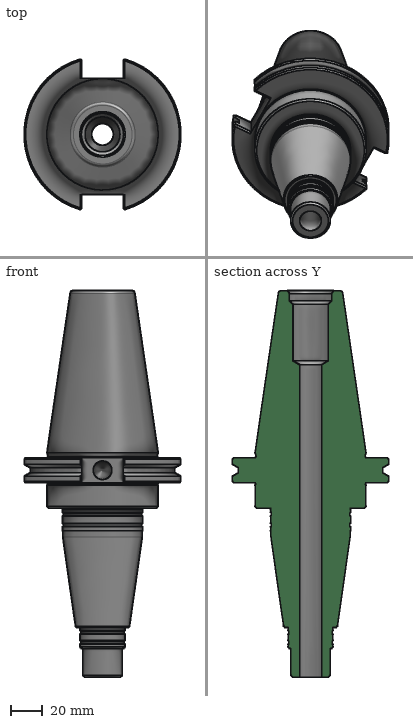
import cadquery as cq
import math


gauge_diameter = 69.85
taper_length = 101.6
taper_ratio = 7 / 24
taper_end_fillet = 2.0

flange_diameter = 98.425
flange_top_z = -3.18
flange_thickness = 15.88
flange_chamfer = 1.0
groove_depth = 3.75
groove_floor_width = 3.0
groove_flank_angle = 30.0
relief_depth = 0.65
relief_return = 0.65

slot_width = 25.7
slot_chamfer = 1.1
front_slot_floor = 37.7
rear_slot_floor = 35.3
drive_hole_diameter = 11.7
drive_hole_depth = 8.0
drill_point_angle = 118.0

collar_bottom_z = -35.0
collar_chamfer = 1.2
collar_relief_width = 1.6
collar_relief_depth = 0.4
neck_diameter = 50.5
neck_relief_diameter = 50.0
neck_relief_width = 1.0
neck_bottom_z = -49.0
cone_diameter = 50.0
cone_top_z = -52.8
cone_bottom_z = -109.7
cone_half_angle = 8.0
cone_chamfer = 0.8
tip_neck_diameter = 28.5
tip_neck_bottom_z = -122.9
tip_neck_chamfer = 1.05
tip_diameter = 25.0
tip_chamfer = 1.3
total_length = 242.5

ring_groove_depth = 0.5
ring_groove_width = 2.4
ring_grooves = [
    (neck_diameter, -37.45),
    (neck_diameter, -44.25),
    (tip_neck_diameter, -111.5),
    (tip_neck_diameter, -117.8),
]

mouth_diameter = 28.5
mouth_depth = 2.0
counterbore_diameter = 26.4
counterbore_depth = 6.5
thread_bore_diameter = 21.96
thread_bore_depth = 44.0
through_diameter = 13.5

gauge_radius = gauge_diameter / 2
flange_radius = flange_diameter / 2
flange_bottom_z = flange_top_z - flange_thickness
flange_mid_z = flange_top_z - flange_thickness / 2
bottom_z = taper_length - total_length
drill_point_tangent = math.tan(math.radians(drill_point_angle / 2))


def revolve(points):
    """Revolve a closed (radius, z) outline about Z."""
    return cq.Workplane("XZ").polyline(points).close().revolve(360, (0, 0), (0, 1))


def make_taper():
    end_radius = gauge_radius - taper_length * taper_ratio / 2
    relief_radius = gauge_radius - relief_depth
    taper = revolve([
        (0, taper_length),
        (end_radius, taper_length),
        (gauge_radius, 0),
        (relief_radius, flange_top_z + relief_return),
        (gauge_radius, flange_top_z),
        (0, flange_top_z),
    ])
    return taper.faces(">Z").edges().fillet(taper_end_fillet)


def make_flange():
    root_radius = flange_radius - groove_depth
    half_floor = groove_floor_width / 2
    half_mouth = half_floor + groove_depth * math.tan(math.radians(groove_flank_angle))
    return revolve([
        (0, flange_top_z),
        (flange_radius - flange_chamfer, flange_top_z),
        (flange_radius, flange_top_z - flange_chamfer),
        (flange_radius, flange_mid_z + half_mouth),
        (root_radius, flange_mid_z + half_floor),
        (root_radius, flange_mid_z - half_floor),
        (flange_radius, flange_mid_z - half_mouth),
        (flange_radius, flange_bottom_z + flange_chamfer),
        (flange_radius - flange_chamfer, flange_bottom_z),
        (0, flange_bottom_z),
    ])


def make_drive_slot(floor_distance):
    """Cutter for a slot open to -Y, its walls bevelled at the flange faces and at the rim."""
    half_width = slot_width / 2
    bevelled_half_width = half_width + slot_chamfer
    half_height = flange_thickness / 2
    slot = (
        cq.Workplane("XZ", origin=(0, -floor_distance, flange_mid_z))
        .polyline([
            (-bevelled_half_width, -half_height),
            (-half_width, slot_chamfer - half_height),
            (-half_width, half_height - slot_chamfer),
            (-bevelled_half_width, half_height),
            (bevelled_half_width, half_height),
            (half_width, half_height - slot_chamfer),
            (half_width, slot_chamfer - half_height),
            (bevelled_half_width, -half_height),
        ])
        .close()
        .extrude(flange_radius)
    )
    rim_y = -math.sqrt(flange_radius**2 - bevelled_half_width**2)
    outer_y = rim_y - slot_chamfer
    inner_y = rim_y + slot_chamfer
    outer_half_width = bevelled_half_width + slot_chamfer
    rim_bevel = (
        cq.Workplane("XY", origin=(0, 0, flange_bottom_z))
        .polyline([
            (-half_width, inner_y),
            (half_width, inner_y),
            (outer_half_width, outer_y),
            (-outer_half_width, outer_y),
        ])
        .close()
        .extrude(flange_thickness)
    )
    return slot.union(rim_bevel)


def make_lower_body():
    relief_mid_z = flange_bottom_z - collar_relief_width / 2
    neck_radius = neck_diameter / 2
    neck_relief_radius = neck_relief_diameter / 2
    cone_radius = cone_diameter / 2
    cone_end_radius = cone_radius - (cone_top_z - cone_bottom_z) * math.tan(math.radians(cone_half_angle))
    tip_neck_radius = tip_neck_diameter / 2
    tip_radius = tip_diameter / 2
    return revolve([
        (0, flange_bottom_z),
        (gauge_radius, flange_bottom_z),
        (gauge_radius - collar_relief_depth, relief_mid_z),
        (gauge_radius, flange_bottom_z - collar_relief_width),
        (gauge_radius, collar_bottom_z + collar_chamfer),
        (gauge_radius - collar_chamfer, collar_bottom_z),
        (neck_relief_radius, collar_bottom_z),
        (neck_relief_radius, collar_bottom_z - neck_relief_width),
        (neck_radius, collar_bottom_z - neck_relief_width),
        (neck_radius, neck_bottom_z),
        (cone_radius, neck_bottom_z),
        (cone_radius, cone_top_z),
        (cone_end_radius, cone_bottom_z + cone_chamfer),
        (cone_end_radius - cone_chamfer, cone_bottom_z),
        (tip_neck_radius, cone_bottom_z),
        (tip_neck_radius, tip_neck_bottom_z + tip_neck_chamfer),
        (tip_neck_radius - tip_neck_chamfer, tip_neck_bottom_z),
        (tip_radius, tip_neck_bottom_z),
        (tip_radius, bottom_z + tip_chamfer),
        (tip_radius - tip_chamfer, bottom_z),
        (0, bottom_z),
    ])


def make_ring_groove(land_diameter, upper_z):
    lower_z = upper_z - ring_groove_width
    land_radius = land_diameter / 2
    floor_radius = land_radius - ring_groove_depth
    outside_radius = land_radius + ring_groove_depth
    return revolve([
        (outside_radius, upper_z),
        (land_radius, upper_z),
        (floor_radius, upper_z - ring_groove_depth),
        (floor_radius, lower_z + ring_groove_depth),
        (land_radius, lower_z),
        (outside_radius, lower_z),
    ])


def make_bore():
    counterbore_radius = counterbore_diameter / 2
    thread_bore_radius = thread_bore_diameter / 2
    through_radius = through_diameter / 2
    counterbore_z = taper_length - counterbore_depth
    seat_z = counterbore_z - (counterbore_radius - thread_bore_radius)
    thread_bore_z = taper_length - thread_bore_depth
    point_z = thread_bore_z - (thread_bore_radius - through_radius) / drill_point_tangent
    return revolve([
        (0, taper_length),
        (mouth_diameter / 2, taper_length),
        (counterbore_radius, taper_length - mouth_depth),
        (counterbore_radius, counterbore_z),
        (thread_bore_radius, seat_z),
        (thread_bore_radius, thread_bore_z),
        (through_radius, point_z),
        (through_radius, bottom_z),
        (0, bottom_z),
    ])


def make_drive_hole():
    """Blind hole with a conical point, drilled along +Y into the front slot floor."""
    radius = drive_hole_diameter / 2
    point_depth = drive_hole_depth + radius / drill_point_tangent
    hole = revolve([(0, 0), (radius, 0), (radius, -drive_hole_depth), (0, -point_depth)])
    hole = hole.rotate((0, 0, 0), (1, 0, 0), 90)
    return hole.translate((0, -front_slot_floor, flange_mid_z))


front_slot = make_drive_slot(front_slot_floor)
rear_slot = make_drive_slot(rear_slot_floor).rotate((0, 0, 0), (0, 0, 1), 180)
flange = make_flange().cut(front_slot).cut(rear_slot)

result = make_taper().union(flange).union(make_lower_body())
for land_diameter, upper_z in ring_grooves:
    result = result.cut(make_ring_groove(land_diameter, upper_z))
result = result.cut(make_bore()).cut(make_drive_hole())